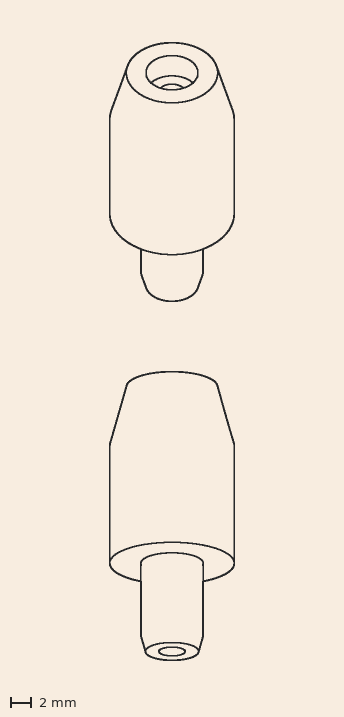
import cadquery as cq
import math

total_height = 27.0
body_diameter = 4 * total_height / 9
shank_diameter = body_diameter / 2
shank_length = total_height / 3
nose_length = body_diameter / 2
tip_length = 1.62
taper_angle = 15.0
bore_top_diameter = 2.6
bore_bottom_diameter = 2.5
counterbore_diameter = 5.0
counterbore_depth = 2.6

body_radius = body_diameter / 2
shank_radius = shank_diameter / 2
taper_slope = math.tan(math.radians(taper_angle))
nose_radius = body_radius - nose_length * taper_slope
tip_radius = shank_radius - tip_length * taper_slope


def revolve_about_z(half_profile):
    """Full turn about Z of a closed outline given as (radius, height) points."""
    return cq.Workplane("XZ").polyline(half_profile).close().revolve(360, (0, 0), (0, 1))


def turned_body():
    """Solid of revolution about Z: tapered shank, cylindrical body and conical nose."""
    half_profile = [
        (0, 0),
        (tip_radius, 0),
        (shank_radius, tip_length),
        (shank_radius, shank_length),
        (body_radius, shank_length),
        (body_radius, total_height - nose_length),
        (nose_radius, total_height),
        (0, total_height),
    ]
    return revolve_about_z(half_profile)


def stepped_hole():
    """Solid filling the counterbore and the slightly tapered bore running through to the tip."""
    counterbore_floor = total_height - counterbore_depth
    half_profile = [
        (0, 0),
        (bore_bottom_diameter / 2, 0),
        (bore_top_diameter / 2, counterbore_floor),
        (counterbore_diameter / 2, counterbore_floor),
        (counterbore_diameter / 2, total_height),
        (0, total_height),
    ]
    return revolve_about_z(half_profile)


result = turned_body().cut(stepped_hole())